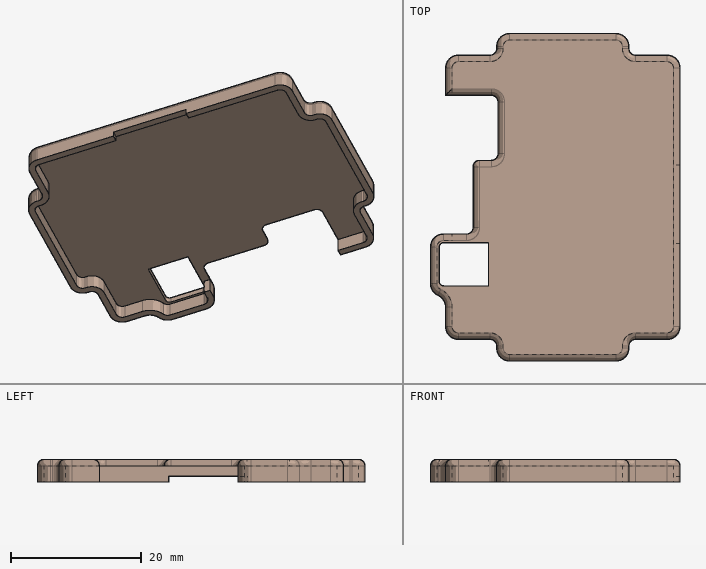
import cadquery as cq
import math

height = 3.5
wall = 1.0
top_edge_radius = 1.0
underside_z = height - wall

body_half_x = 17.95
body_half_y = 21.8
tab_half_x = 10.15
tab_end_y = 25.1
outer_radius = 2.0
inner_radius = 1.0

notch_x = -9.95
notch_top_y = 15.6
notch_bottom_y = 5.65
tongue_x = -13.75
tongue_radius = 1.0

boss_x = -20.3
boss_top_y = -5.6
boss_arc_y = -13.2

window_inset = 1.35
window_right_x = -11.4
window_bottom_y = -13.55

slot_top_y = 4.95
slot_width = 12.05
slot_height = 0.9


def boss_shoulder():
    """Corners of the S-bend below the boss: two equal arcs that meet tangentially."""
    protrusion = -body_half_x - boss_x
    turn = math.acos(1 - protrusion / (2 * outer_radius))
    tangent = outer_radius * math.tan(turn / 2)
    upper_y = boss_arc_y - tangent
    lower_y = upper_y - 2 * tangent * math.cos(turn)
    return [(boss_x, upper_y, outer_radius), (-body_half_x, lower_y, outer_radius)]


def recess_corners():
    """Corners of the notch and the tongue, from the boss up to the arm above the notch."""
    return [
        (tongue_x, boss_top_y, inner_radius),
        (tongue_x, notch_bottom_y, tongue_radius),
        (notch_x, notch_bottom_y, inner_radius),
        (notch_x, notch_top_y, inner_radius),
        (-body_half_x, notch_top_y, 0),
    ]


def outline_corners(side_corners):
    """Corners (x, y, radius) of the outline, clockwise, with the given ones between boss and arm."""
    return [
        (-tab_half_x, tab_end_y, outer_radius),
        (tab_half_x, tab_end_y, outer_radius),
        (tab_half_x, body_half_y, inner_radius),
        (body_half_x, body_half_y, outer_radius),
        (body_half_x, -body_half_y, outer_radius),
        (tab_half_x, -body_half_y, inner_radius),
        (tab_half_x, -tab_end_y, outer_radius),
        (-tab_half_x, -tab_end_y, outer_radius),
        (-tab_half_x, -body_half_y, inner_radius),
        (-body_half_x, -body_half_y, outer_radius),
        *reversed(boss_shoulder()),
        (boss_x, boss_top_y, outer_radius),
        *side_corners,
        (-body_half_x, body_half_y, outer_radius),
        (-tab_half_x, body_half_y, inner_radius),
    ]


def corner_arc(before, corner, after):
    """Start, middle and end of the arc that rounds a corner."""
    point = cq.Vector(corner[0], corner[1])
    to_before = (cq.Vector(before[0], before[1]) - point).normalized()
    to_after = (cq.Vector(after[0], after[1]) - point).normalized()
    half_angle = to_before.getAngle(to_after) / 2
    radius = corner[2]
    setback = radius / math.tan(half_angle)
    middle_distance = radius / math.sin(half_angle) - radius
    start = point + to_before * setback
    middle = point + (to_before + to_after).normalized() * middle_distance
    end = point + to_after * setback
    return start, middle, end


def rounded_outline(corners):
    """Workplane with a closed wire through the corners, each rounded by its own radius."""
    touching = 5.02e-07
    arcs = []
    for i, corner in enumerate(corners):
        arcs.append(corner_arc(corners[i - 1], corner, corners[(i + 1) % len(corners)]))
    edges = []
    for i, (start, middle, end) in enumerate(arcs):
        previous_end = arcs[i - 1][2]
        if (start - previous_end).Length > touching:
            edges.append(cq.Edge.makeLine(previous_end, start))
        if (end - start).Length > touching:
            edges.append(cq.Edge.makeThreePointArc(start, middle, end))
    return cq.Workplane("XY").add(cq.Wire.assembleEdges(edges)).toPending()


def block(x_min, x_max, y_min, y_max, z_min, z_max):
    """Box between two limits on each axis."""
    size = (x_max - x_min, y_max - y_min, z_max - z_min)
    return cq.Workplane("XY").box(*size, centered=False).translate((x_min, y_min, z_min))


cover = rounded_outline(outline_corners(recess_corners())).extrude(height)
cover = cover.faces(">Z").edges().fillet(top_edge_radius)

straight_side = [(-body_half_x, boss_top_y, 0)]
cavity = rounded_outline(outline_corners(straight_side)).offset2D(-wall, "intersection")
cover = cover.cut(cavity.extrude(underside_z))

window = block(
    boss_x + window_inset, window_right_x,
    window_bottom_y, boss_top_y - window_inset,
    underside_z, height,
)
window = window.edges("|Z and <X").fillet(outer_radius - window_inset)
cover = cover.cut(window)

cover = cover.cut(
    block(body_half_x - 2 * wall, body_half_x, slot_top_y - slot_width, slot_top_y, 0, slot_height)
)

result = cover